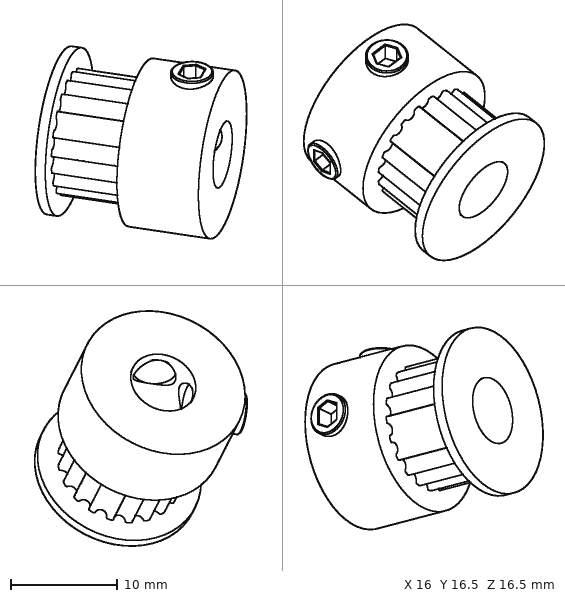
import cadquery as cq
import math

total_length = 16.0
hub_length = 7.99
flange_thickness = 1.0
outer_radius = 8.0
bore_radius = 3.18
drum_length = total_length - hub_length - flange_thickness
hub_start = flange_thickness + drum_length

tooth_count = 20
drum_radius = 6.02
groove_depth = 0.75
groove_side_radius = 1.0
groove_side_offset = 0.4
tip_radius = 0.15

screw_angles = (0, -90)
screw_radius = 2.0
screw_x = total_length - 3.0
screw_top = 8.53
screw_tip = bore_radius
screw_chamfer = 0.13

socket_width = 2.05
socket_flat = 1.57
socket_height = 2.55
socket_depth = 2.0
socket_chamfer = 0.08


def x_cylinder(start, length, radius):
    """Solid cylinder along +X, centred on the X axis."""
    return cq.Workplane("YZ", origin=(start, 0, 0)).circle(radius).extrude(length)


def turned_about_x(body, angle):
    """Copy of a body turned about the X axis."""
    return body.rotate((0, 0, 0), (1, 0, 0), angle)


def belt_groove():
    """Cutter for one groove at the top of the drum: a round bottom with a tangent arc on each side."""
    side_centre_y = groove_side_offset
    bottom_radius = (groove_side_radius**2 - side_centre_y**2 - groove_depth**2) / (
        2 * (groove_side_radius - groove_depth)
    )
    bottom_centre_depth = groove_depth - bottom_radius
    join_angle = math.atan2(bottom_centre_depth, side_centre_y)

    def side_point(angle):
        """Point of the +Y side arc, at an angle below its mouth."""
        y = groove_side_radius * math.cos(angle) - side_centre_y
        z = drum_radius - groove_side_radius * math.sin(angle)
        return y, z

    mouth_y, mouth_z = side_point(0)
    middle_y, middle_z = side_point(join_angle / 2)
    join_y, join_z = side_point(join_angle)
    clear_z = drum_radius + groove_depth
    return (
        cq.Workplane("YZ", origin=(flange_thickness, 0, 0))
        .moveTo(-mouth_y, clear_z)
        .lineTo(-mouth_y, mouth_z)
        .threePointArc((-middle_y, middle_z), (-join_y, join_z))
        .threePointArc((0, drum_radius - groove_depth), (join_y, join_z))
        .threePointArc((middle_y, middle_z), (mouth_y, mouth_z))
        .lineTo(mouth_y, clear_z)
        .close()
        .extrude(drum_length)
    )


def toothed_drum():
    """Drum with a groove at every tooth pitch and rounded tooth tips."""
    drum = x_cylinder(flange_thickness, drum_length, drum_radius)
    groove = belt_groove()
    for i in range(tooth_count):
        drum = drum.cut(turned_about_x(groove, i * 360 / tooth_count))
    tip_edges = [
        edge
        for edge in drum.edges("|X").vals()
        if math.hypot(edge.Center().y, edge.Center().z) > drum_radius - tip_radius
    ]
    return drum.newObject(tip_edges).fillet(tip_radius)


def screw_hole(angle):
    """Cutter for a set screw's hole, from the pulley's axis outwards."""
    hole = cq.Workplane("XY", origin=(screw_x, 0, 0)).circle(screw_radius).extrude(screw_top)
    return turned_about_x(hole, angle)


def make_pulley():
    """Flange, drum and hub in one piece, with the bore and the set screw holes."""
    flange = x_cylinder(0, flange_thickness, outer_radius)
    hub = x_cylinder(hub_start, hub_length, outer_radius)
    pulley = flange.union(toothed_drum()).union(hub)
    pulley = pulley.cut(x_cylinder(0, total_length, bore_radius))
    for angle in screw_angles:
        pulley = pulley.cut(screw_hole(angle))
    return pulley


def screw_socket():
    """Cutter for the hexagonal socket of the upright screw."""
    half_width = socket_width / 2
    half_flat = socket_flat / 2
    half_height = socket_height / 2
    corners = [
        (half_width, half_flat),
        (0, half_height),
        (-half_width, half_flat),
        (-half_width, -half_flat),
        (0, -half_height),
        (half_width, -half_flat),
    ]
    return (
        cq.Workplane("XY", origin=(screw_x, 0, screw_top))
        .polyline(corners)
        .close()
        .extrude(-socket_depth)
    )


def make_screw(angle):
    """Set screw with a chamfered rim and socket, standing out of the hub."""
    screw = (
        cq.Workplane("XY", origin=(screw_x, 0, screw_tip))
        .circle(screw_radius)
        .extrude(screw_top - screw_tip)
        .faces(">Z")
        .chamfer(screw_chamfer)
    )
    screw = screw.cut(screw_socket())
    screw = screw.faces(">Z").edges("%LINE").chamfer(socket_chamfer)
    return turned_about_x(screw, angle)


pulley = make_pulley()
set_screws = [make_screw(angle) for angle in screw_angles]

result = cq.Compound.makeCompound([pulley.val(), *[screw.val() for screw in set_screws]])